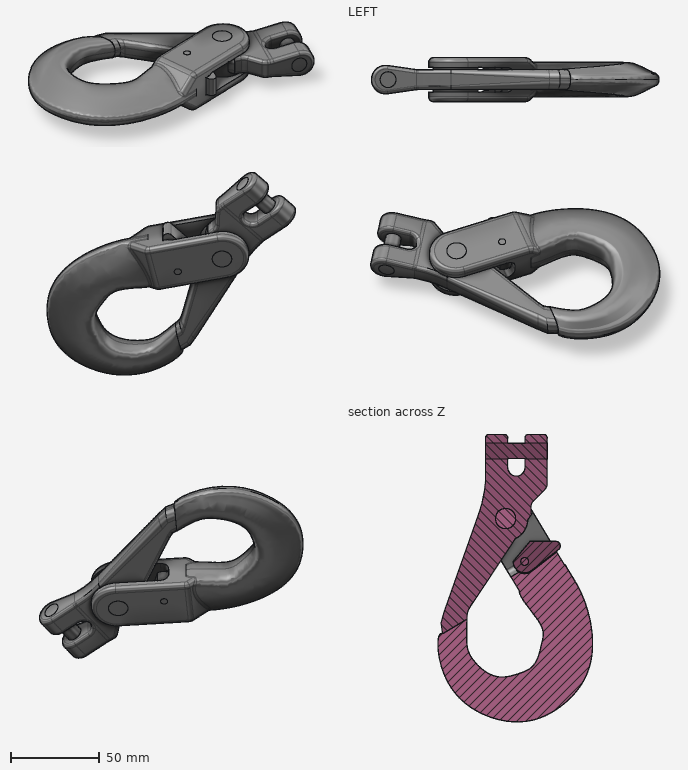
import cadquery as cq
import math


FORK_ANGLE = 31.0
FORK_SIDE = math.radians(FORK_ANGLE)
FORK_RADIUS = 14.8
FORK_HEAD_X, FORK_HEAD_Y = 0.3, 0.5
FORK_HALF_THICKNESS = 12.5
FORK_GAP_HALF = 7.0
FORK_EDGE_FILLET = 3.0
FORK_SHOULDER = 40.5
FORK_SLOPE_LENGTH, FORK_SLOPE_HEIGHT = 10.5, 9.0
FORK_SHOULDER_FILLET = 4.7
JUNCTION_DISTANCE, JUNCTION_HEIGHT = 46.0, 7.8
JUNCTION_FILLET = 2.5
FORK_SLOT_DEPTH = 29.8
FORK_SLOT_FILLET = 4.7

EYE_X, EYE_Y, EYE_RADIUS = -0.5, -68.0, 21.5
BOW_X, BOW_Y, BOW_RADIUS = 5.5, -71.1, 43.8
SHANK_RADIUS = 68.3
BOW_HALF_THICKNESS = 10.0
BOW_FORK_OUTER = 15.5
BOW_FORK_PEAK = 6.2
NOSE_DEPTH, NOSE_HEIGHT, NOSE_SLOPE = 2.5, 3.7, 0.4
TIP_HALF_THICKNESS = 5.7
TIP_INNER = (-21.8, -56.6)
TIP_WIDTH = 16.3

ARM_HALF_THICKNESS = TIP_HALF_THICKNESS
ARM_FILLET = 2.1
BLADE_FILLET_INNER = 3.5
BLADE_FILLET_TOP = 2.3
BLADE_FILLET_TIP = 5.0
BLADE_TOP_Y = 2.8
BLADE_TOP_OUTER, BLADE_TOP_INNER = -15.3, 15.0
CLEVIS_LEFT, CLEVIS_RIGHT = -11.4, 23.6
CLEVIS_MIDDLE = (CLEVIS_LEFT + CLEVIS_RIGHT) / 2
CLEVIS_TOP = 47.7
CLEVIS_END_RADIUS = 8.1
CLEVIS_SLOT_WIDTH = 9.6
CLEVIS_SLOT_BOTTOM = 24.1
CLEVIS_TAPER_END = 22.1
TAPER_BLEND = 13.0
BOSS_RADIUS = 12.7
NECK_ARC_MIDDLE = (-12.5, 12.7)
NOTCH_TOP = 17.7
NOTCH_X = 14.5
NOTCH_BOTTOM = NOTCH_TOP - (CLEVIS_RIGHT - NOTCH_X)
NOTCH_FILLET = 4.5

PIVOT_DIAMETER = 11.0
CLEVIS_PIN_DIAMETER = 9.0
CLEVIS_PIN_Y = 38.2
TRIGGER_PIN_DIAMETER = 4.0
TRIGGER_X, TRIGGER_Y = 10.7, -24.2

TRIGGER_HALF_THICKNESS = 5.5
TRIGGER_HUB_RADIUS = 6.5
TRIGGER_TIP_RADIUS = 5.4 / 2
TRIGGER_TIP_X, TRIGGER_TIP_Y = 28.3, -15.5
TRIGGER_SHOULDER_X = 13.8
TRIGGER_CLEARANCE = 0.3


def slab(outline, half_thickness):
    """Extrude a closed XY outline equally above and below Z = 0."""
    return outline.extrude(half_thickness, both=True)


def along_fork(distance, offset):
    """XY point at a distance from the pivot along the fork, offset towards its right side."""
    return (
        distance * math.sin(FORK_SIDE) + offset * math.cos(FORK_SIDE),
        -distance * math.cos(FORK_SIDE) + offset * math.sin(FORK_SIDE),
    )


def post(x, y, diameter, half_length):
    return slab(cq.Workplane("XY").center(x, y).circle(diameter / 2), half_length)


def ray_to_circle(angle, circle_x, circle_y, radius):
    """Distance from the eye centre, in the given direction, to a circle around it."""
    dx, dy = EYE_X - circle_x, EYE_Y - circle_y
    along = dx * math.cos(angle) + dy * math.sin(angle)
    return -along + math.sqrt(along**2 - dx**2 - dy**2 + radius**2)


def bow_section(inner, angle, width, half_thickness, peak):
    """Teardrop section: starts at the inner point and runs outwards in the given direction."""
    def point(outwards, z):
        return cq.Vector(
            inner[0] + outwards * math.cos(angle), inner[1] + outwards * math.sin(angle), z
        )

    def half(side):
        points = [
            point(0, 0),
            point(peak, side * half_thickness),
            point(width - NOSE_DEPTH, side * NOSE_HEIGHT),
            point(width, 0),
        ]
        up = cq.Vector(0, 0, side)
        out = cq.Vector(math.cos(angle), math.sin(angle), 0)
        tangents = [up, out, out - up * NOSE_SLOPE, up * -1]
        return cq.Edge.makeSpline(points, tangents=tangents)

    return cq.Wire.assembleEdges([half(1), half(-1)])


def make_bow():
    sections = [bow_section(TIP_INNER, FORK_SIDE + math.pi, TIP_WIDTH, TIP_HALF_THICKNESS, TIP_WIDTH / 2)]
    stations = [
        (180, 6.5, 7.8),
        (210, 7.6, 7.8),
        (240, 8.8, 7.8),
        (270, 9.6, 7.8),
        (300, BOW_HALF_THICKNESS, 7.2),
        (330, BOW_HALF_THICKNESS, 6.5),
        (360, BOW_HALF_THICKNESS, 6.5),
        (360 + FORK_ANGLE, BOW_HALF_THICKNESS, 6.5),
    ]
    for degrees, half_thickness, peak in stations:
        angle = math.radians(degrees)
        if degrees < 360:
            reach = ray_to_circle(angle, BOW_X, BOW_Y, BOW_RADIUS)
        else:
            reach = ray_to_circle(angle, BOW_X + BOW_RADIUS - SHANK_RADIUS, BOW_Y, SHANK_RADIUS)
        inner = (EYE_X + EYE_RADIUS * math.cos(angle), EYE_Y + EYE_RADIUS * math.sin(angle))
        sections.append(bow_section(inner, angle, reach - EYE_RADIUS, half_thickness, peak))
    for distance, inner_offset in ((47.2, -15.1), (39.5, -14.8)):
        inner = along_fork(distance, inner_offset)
        width = BOW_FORK_OUTER - inner_offset
        sections.append(bow_section(inner, FORK_SIDE, width, BOW_HALF_THICKNESS, BOW_FORK_PEAK))
    return cq.Workplane("XY").add(cq.Solid.makeLoft(sections))


def make_fork():
    fork_end = FORK_SHOULDER + FORK_SLOPE_LENGTH
    left, right = FORK_HEAD_X - FORK_RADIUS, FORK_HEAD_X + FORK_RADIUS
    outline = (
        cq.Workplane("XY")
        .moveTo(right, -fork_end)
        .lineTo(right, FORK_HEAD_Y)
        .threePointArc((FORK_HEAD_X, FORK_HEAD_Y + FORK_RADIUS), (left, FORK_HEAD_Y))
        .lineTo(left, -fork_end)
        .close()
    )
    side_profile = (
        cq.Workplane("YZ")
        .moveTo(FORK_HEAD_Y + FORK_RADIUS, 0)
        .lineTo(FORK_HEAD_Y + FORK_RADIUS, FORK_HALF_THICKNESS)
        .lineTo(-FORK_SHOULDER, FORK_HALF_THICKNESS)
        .lineTo(-fork_end, FORK_HALF_THICKNESS - FORK_SLOPE_HEIGHT)
        .lineTo(-fork_end, 0)
        .close()
        .extrude(2 * FORK_RADIUS, both=True)
    )
    upper_half = outline.extrude(FORK_HALF_THICKNESS).intersect(side_profile)
    upper_half = upper_half.faces(">Z").edges("<Y").fillet(FORK_SHOULDER_FILLET)
    upper_half = upper_half.faces(">Z").edges("|Y").fillet(FORK_EDGE_FILLET)
    return upper_half.union(upper_half.mirror("XY"))


def make_fork_slot():
    top = 2 * FORK_RADIUS
    slot = cq.Workplane("XY").box(4 * FORK_RADIUS, top + FORK_SLOT_DEPTH, 2 * FORK_GAP_HALF)
    slot = slot.translate((0, (top - FORK_SLOT_DEPTH) / 2, 0))
    return slot.faces("<Y").edges("|X").fillet(FORK_SLOT_FILLET)


def trigger_outline():
    hub_left = TRIGGER_X - TRIGGER_HUB_RADIUS
    dx, dy = TRIGGER_TIP_X - TRIGGER_X, TRIGGER_TIP_Y - TRIGGER_Y
    length = math.hypot(dx, dy)
    tangent = math.atan2(dy, dx) - math.acos((TRIGGER_HUB_RADIUS - TRIGGER_TIP_RADIUS) / length)

    def on_circle(x, y, radius, angle):
        return (x + radius * math.cos(angle), y + radius * math.sin(angle))

    hub_middle = (math.pi + tangent + 2 * math.pi) / 2
    tip_middle = (tangent + math.pi / 2) / 2
    return (
        cq.Workplane("XY")
        .moveTo(TRIGGER_SHOULDER_X, TRIGGER_TIP_Y + TRIGGER_TIP_RADIUS)
        .lineTo(hub_left, TRIGGER_Y)
        .threePointArc(
            on_circle(TRIGGER_X, TRIGGER_Y, TRIGGER_HUB_RADIUS, hub_middle),
            on_circle(TRIGGER_X, TRIGGER_Y, TRIGGER_HUB_RADIUS, tangent),
        )
        .lineTo(*on_circle(TRIGGER_TIP_X, TRIGGER_TIP_Y, TRIGGER_TIP_RADIUS, tangent))
        .threePointArc(
            on_circle(TRIGGER_TIP_X, TRIGGER_TIP_Y, TRIGGER_TIP_RADIUS, tip_middle),
            (TRIGGER_TIP_X, TRIGGER_TIP_Y + TRIGGER_TIP_RADIUS),
        )
        .close()
    )


def make_trigger():
    return slab(trigger_outline(), TRIGGER_HALF_THICKNESS).cut(trigger_pin)


def blend_junction(body):
    """Round the edges where the sloping ends of the fork run into the bow, above and below."""
    x, y = along_fork(JUNCTION_DISTANCE, 0)
    edges = [
        body.edges(cq.selectors.NearestToPointSelector((x, y, z))).val()
        for z in (JUNCTION_HEIGHT, -JUNCTION_HEIGHT)
    ]
    return body.newObject(edges).fillet(JUNCTION_FILLET)


def make_hook():
    fork = make_fork().rotate((0, 0, 0), (0, 0, 1), FORK_ANGLE)
    slot = make_fork_slot().rotate((0, 0, 0), (0, 0, 1), FORK_ANGLE)
    trigger_pocket = slab(
        trigger_outline().offset2D(TRIGGER_CLEARANCE), TRIGGER_HALF_THICKNESS + TRIGGER_CLEARANCE
    )
    body = blend_junction(fork.union(make_bow()))
    return body.cut(slot).cut(trigger_pocket).cut(pivot).cut(trigger_pin)


def arm_head_outline():
    return (
        cq.Workplane("XY")
        .moveTo(BLADE_TOP_OUTER, BLADE_TOP_Y)
        .threePointArc(NECK_ARC_MIDDLE, (CLEVIS_LEFT, CLEVIS_TAPER_END))
        .lineTo(CLEVIS_LEFT, CLEVIS_TOP)
        .lineTo(CLEVIS_RIGHT, CLEVIS_TOP)
        .lineTo(CLEVIS_RIGHT, NOTCH_TOP)
        .lineTo(NOTCH_X, NOTCH_BOTTOM)
        .lineTo(NOTCH_X, BLADE_TOP_Y)
        .close()
    )


def clevis_slot_outline():
    half_width = CLEVIS_SLOT_WIDTH / 2
    floor_centre_y = CLEVIS_SLOT_BOTTOM + half_width
    left, right = CLEVIS_MIDDLE - half_width, CLEVIS_MIDDLE + half_width
    return (
        cq.Workplane("XY")
        .moveTo(left, 2 * CLEVIS_TOP)
        .lineTo(left, floor_centre_y)
        .threePointArc((CLEVIS_MIDDLE, CLEVIS_SLOT_BOTTOM), (right, floor_centre_y))
        .lineTo(right, 2 * CLEVIS_TOP)
        .close()
    )


def clevis_side_profile():
    """Side shape of the head: flat, then tapering up to the rounded end of the lugs."""
    end_y = CLEVIS_TOP - CLEVIS_END_RADIUS
    run = end_y - CLEVIS_TAPER_END
    taper = math.asin(CLEVIS_END_RADIUS / math.hypot(run, ARM_HALF_THICKNESS)) - math.atan2(
        ARM_HALF_THICKNESS, run
    )
    tangent_y = end_y - CLEVIS_END_RADIUS * math.sin(taper)
    tangent_z = CLEVIS_END_RADIUS * math.cos(taper)
    return (
        cq.Workplane("YZ")
        .moveTo(BLADE_TOP_Y, -ARM_HALF_THICKNESS)
        .lineTo(CLEVIS_TAPER_END, -ARM_HALF_THICKNESS)
        .lineTo(tangent_y, -tangent_z)
        .threePointArc((CLEVIS_TOP, 0), (tangent_y, tangent_z))
        .lineTo(CLEVIS_TAPER_END, ARM_HALF_THICKNESS)
        .lineTo(BLADE_TOP_Y, ARM_HALF_THICKNESS)
        .close()
    )


def make_arm_head():
    side = clevis_side_profile().extrude(2 * CLEVIS_RIGHT, both=True)
    for z in (ARM_HALF_THICKNESS, -ARM_HALF_THICKNESS):
        taper_start = cq.selectors.NearestToPointSelector((0, CLEVIS_TAPER_END, z))
        side = side.edges("|X").edges(taper_start).fillet(TAPER_BLEND)
    plate = slab(arm_head_outline(), 2 * CLEVIS_END_RADIUS)
    for x, y in ((CLEVIS_RIGHT, NOTCH_TOP), (NOTCH_X, NOTCH_BOTTOM)):
        corner = cq.selectors.NearestToPointSelector((x, y, 0))
        plate = plate.edges("|Z").edges(corner).fillet(NOTCH_FILLET)
    head = plate.intersect(side).cut(slab(clevis_slot_outline(), 2 * CLEVIS_END_RADIUS))
    return head.edges("(not |X) and (not |Z)").fillet(ARM_FILLET)


def blade_section(inner, outer, inner_corner, outer_corner):
    """Upright rounded rectangle standing on the line from the inner to the outer point."""
    start, end = cq.Vector(*inner), cq.Vector(*outer)
    across = end - start
    plane = cq.Plane(origin=(start + end) * 0.5, xDir=across, normal=cq.Vector(0, 0, 1).cross(across))
    section = cq.Sketch().rect(across.Length, 2 * ARM_HALF_THICKNESS)
    section = section.vertices("<X").fillet(inner_corner).reset().vertices(">X").fillet(outer_corner)
    return section.moved(plane.location)


def make_blade():
    tip_outer = (
        TIP_INNER[0] - TIP_WIDTH * math.cos(FORK_SIDE),
        TIP_INNER[1] - TIP_WIDTH * math.sin(FORK_SIDE),
    )
    top_inner, top_outer = (BLADE_TOP_INNER, BLADE_TOP_Y), (BLADE_TOP_OUTER, BLADE_TOP_Y)
    sections = [
        blade_section(top_inner, top_outer, BLADE_FILLET_INNER, BLADE_FILLET_TOP),
        blade_section((-20.7, -51.1), (-35.0, -53.0), BLADE_FILLET_INNER, BLADE_FILLET_TIP),
        blade_section((-21.5, -53.4), (-36.6, -59.0), BLADE_FILLET_TIP, BLADE_FILLET_TIP),
        blade_section(TIP_INNER, tip_outer, BLADE_FILLET_TIP, BLADE_FILLET_TIP),
    ]
    return cq.Workplane("XY").placeSketch(*sections).loft(ruled=True)


def make_arm():
    boss = post(0, 0, 2 * BOSS_RADIUS, FORK_GAP_HALF)
    body = make_arm_head().union(make_blade()).union(boss)
    return body.cut(pivot).cut(clevis_pin)


pivot = post(0, 0, PIVOT_DIAMETER, FORK_HALF_THICKNESS)
trigger_pin = post(TRIGGER_X, TRIGGER_Y, TRIGGER_PIN_DIAMETER, FORK_HALF_THICKNESS)
clevis_pin = (
    cq.Workplane("YZ", origin=(CLEVIS_LEFT, CLEVIS_PIN_Y, 0))
    .circle(CLEVIS_PIN_DIAMETER / 2)
    .extrude(CLEVIS_RIGHT - CLEVIS_LEFT)
)
trigger = make_trigger()
hook = make_hook()
arm = make_arm()

result = cq.Compound.makeCompound(
    [hook.val(), arm.val(), trigger.val(), pivot.val(), trigger_pin.val(), clevis_pin.val()]
)